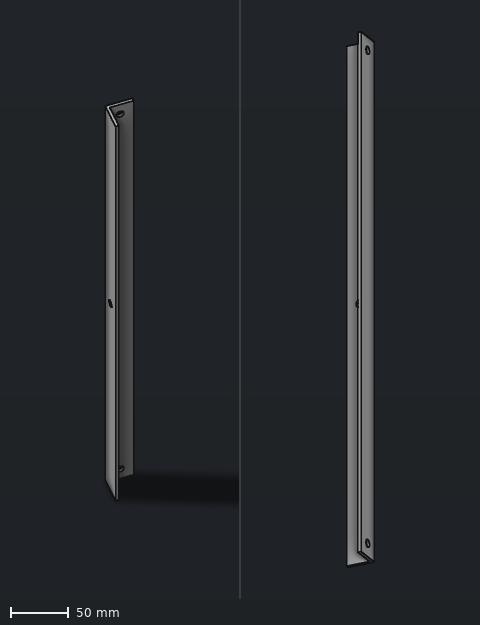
import cadquery as cq

length = 492.0
leg_width = 25.5
thickness = 3.15

hole_diameter = 7.0
hole_center = leg_width / 2
end_hole_inset = 13.0


def angle_bar():
    """L-shaped section extruded to the full length."""
    return (
        cq.Workplane("XY")
        .polyline([
            (0, 0),
            (leg_width, 0),
            (leg_width, thickness),
            (thickness, thickness),
            (thickness, leg_width),
            (0, leg_width),
        ])
        .close()
        .extrude(length)
    )


def leg_hole(start, direction):
    """Cutter through one leg, starting on its outer face."""
    return cq.Workplane(
        cq.Solid.makeCylinder(hole_diameter / 2, thickness, cq.Vector(*start), cq.Vector(*direction))
    )


result = angle_bar()

result = result.cut(leg_hole((hole_center, 0, length / 2), (0, 1, 0)))

for height in (end_hole_inset, length - end_hole_inset):
    result = result.cut(leg_hole((0, hole_center, height), (1, 0, 0)))